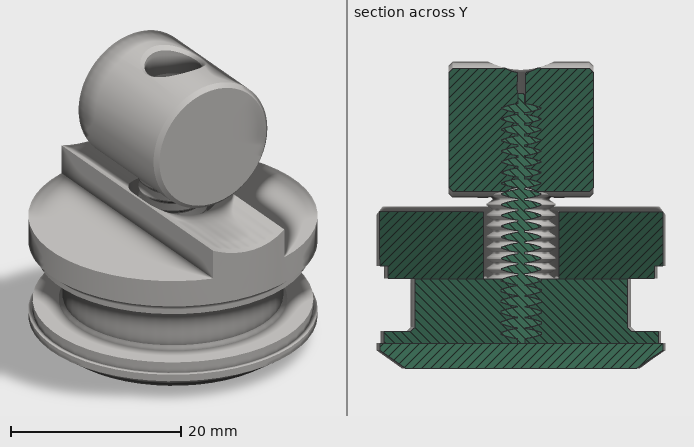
import cadquery as cq

overall_height = 36.0
body_radius = 17.0

base_foot_radius = 14.0
base_rim_bottom = 2.12
base_rim_top = 3.0

flange_radius = 16.5
flange_top = 4.35
neck_radius = 12.95
neck_flare = 0.45
neck_top = 10.5

cap_step_radius = 16.05
cap_step_top = 12.0
cap_disc_top = 15.35
rib_top = 19.0
rib_width = 10.0
saddle_radius = 13.0
saddle_depth = 1.0
slot_width = 9.0
slot_length = 11.75

barrel_radius = 8.0
barrel_length = 17.05
barrel_chamfer = 0.5
barrel_axis_height = overall_height - barrel_radius
hole_chamfer = 0.5

thread_pitch = 1.25
thread_crest_radius = 4.05
thread_root_radius = 3.35
thread_crest_flat = 0.15
thread_root_flat = 0.15
thread_flank = (thread_pitch - thread_crest_flat - thread_root_flat) / 2
reference_crest_height = 19.22
stud_bottom = base_rim_top
stud_top = 32.33
crests_below = 12
crests_above = 9


def turned(outline):
    """Revolve a closed (radius, height) outline about the Z axis."""
    return cq.Workplane("XZ").polyline(outline).close().revolve(360, (0, 0), (0, 1))


def make_base_plate():
    """Solid disc with a conical underside."""
    return turned([
        (0, 0),
        (base_foot_radius, 0),
        (body_radius, base_rim_bottom),
        (body_radius, base_rim_top),
        (0, base_rim_top),
    ])


def make_stud():
    """Stud with evenly spaced ring threads along its whole length."""
    half_crest = thread_crest_flat / 2
    outline = [(0, stud_bottom), (thread_root_radius, stud_bottom)]
    for index in range(-crests_below, crests_above + 1):
        crest = reference_crest_height + index * thread_pitch
        outline += [
            (thread_root_radius, crest - half_crest - thread_flank),
            (thread_crest_radius, crest - half_crest),
            (thread_crest_radius, crest + half_crest),
            (thread_root_radius, crest + half_crest + thread_flank),
        ]
    outline += [(thread_root_radius, stud_top), (0, stud_top)]
    return turned(outline)


def make_spool(stud):
    """Flanged neck with a threaded hole that fits the stud."""
    spool = turned([
        (0, base_rim_top),
        (flange_radius, base_rim_top),
        (flange_radius, flange_top),
        (neck_radius + neck_flare, flange_top),
        (neck_radius, flange_top + neck_flare),
        (neck_radius, neck_top),
        (0, neck_top),
    ])
    return spool.cut(stud)


def make_cap():
    """Stepped disc with a saddle rib, pierced by a slot that clears the stud."""
    disc = turned([
        (0, neck_top),
        (cap_step_radius, neck_top),
        (cap_step_radius, cap_step_top),
        (body_radius, cap_step_top),
        (body_radius, cap_disc_top),
        (0, cap_disc_top),
    ])
    rib = (
        cq.Workplane("XY").workplane(offset=cap_disc_top)
        .rect(2 * body_radius, rib_width).extrude(rib_top - cap_disc_top)
        .intersect(cq.Workplane("XY").circle(body_radius).extrude(overall_height))
    )
    saddle = (
        cq.Workplane("YZ")
        .center(0, rib_top - saddle_depth + saddle_radius)
        .circle(saddle_radius).extrude(body_radius, both=True)
    )
    slot = cq.Workplane("XY").slot2D(slot_length, slot_width).extrude(overall_height)
    return disc.union(rib).cut(saddle).cut(slot)


def make_barrel(stud):
    """Cross pin with a chamfered through hole, threaded where the stud fills it."""
    barrel = (
        cq.Workplane("YZ", origin=(-barrel_length / 2, 0, barrel_axis_height))
        .circle(barrel_radius).extrude(barrel_length)
        .faces("<X or >X").chamfer(barrel_chamfer)
    )
    hole = cq.Workplane("XY").circle(thread_root_radius).extrude(2 * overall_height)
    hole_rims = cq.selectors.BoxSelector(
        (-thread_crest_radius, -thread_crest_radius, 0),
        (thread_crest_radius, thread_crest_radius, 2 * overall_height),
    )
    barrel = barrel.cut(hole)
    barrel = barrel.edges(hole_rims).edges("not (|Z or |X)").chamfer(hole_chamfer)
    return barrel.cut(stud)


stud = make_stud()
base_plate = make_base_plate()
spool = make_spool(stud)
cap = make_cap()
barrel = make_barrel(stud)

result = cq.Compound.makeCompound([
    base_plate.val(), spool.val(), cap.val(), stud.val(), barrel.val(),
])